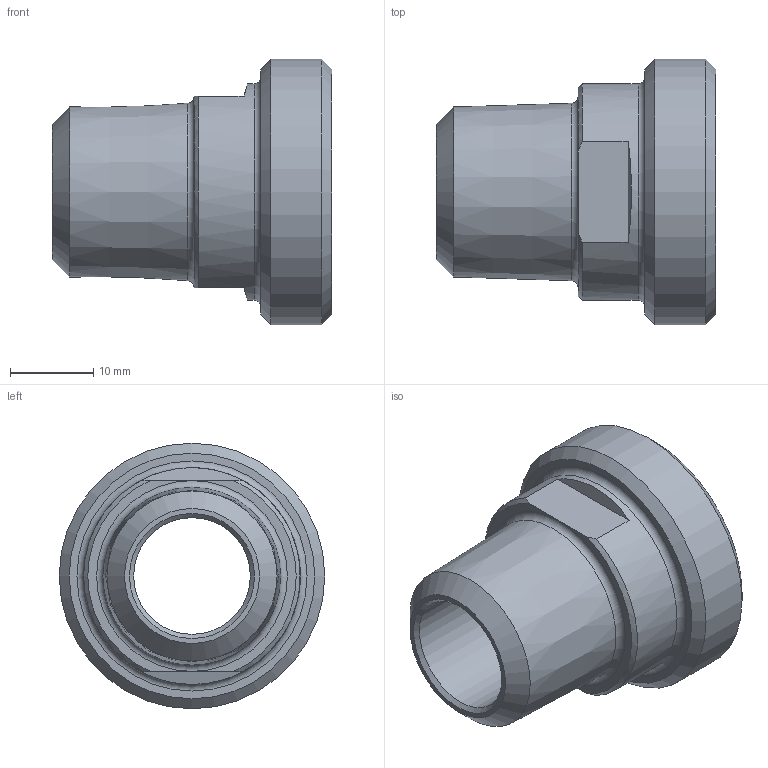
import cadquery as cq
import math

total_length = 33.5
collar_start = 17.0
flange_start = 25.0

nose_radius = 8.1
nose_chamfer = 2.1
spigot_radius = nose_radius + nose_chamfer
taper_slope = 1 / 32

collar_diameter = 26.0
collar_radius = collar_diameter / 2
collar_chamfer = 0.5
flange_diameter = 31.85
flange_radius = flange_diameter / 2
flange_chamfer = 1.2
corner_fillet = 0.8
bore_diameter = 14.0
bore_radius = bore_diameter / 2
bore_chamfer = 0.5

flat_height = 11.5
flat_end = 23.0
flat_end_angle = 15.0


def add_corner_fillet(profile, x_face, radius):
    """Run a concave fillet from the given radius up onto the shoulder face."""
    start = (x_face - corner_fillet, radius)
    bulge = corner_fillet * math.sin(math.radians(45))
    middle = (start[0] + bulge, radius + corner_fillet - bulge)
    end = (x_face, radius + corner_fillet)
    return profile.lineTo(*start).threePointArc(middle, end)


def make_body():
    """Revolve the spigot, collar, flange and bore about the X axis."""
    spigot_end = collar_start - corner_fillet
    spigot_end_radius = spigot_radius + taper_slope * (spigot_end - nose_chamfer)

    profile = (
        cq.Workplane("XY")
        .moveTo(bore_chamfer, bore_radius)
        .lineTo(0, bore_radius + bore_chamfer)
        .lineTo(0, nose_radius)
        .lineTo(nose_chamfer, spigot_radius)
    )
    profile = add_corner_fillet(profile, collar_start, spigot_end_radius)
    profile = (
        profile
        .lineTo(collar_start, collar_radius - collar_chamfer)
        .lineTo(collar_start + collar_chamfer, collar_radius)
    )
    profile = add_corner_fillet(profile, flange_start, collar_radius)
    profile = (
        profile
        .lineTo(flange_start, flange_radius - flange_chamfer)
        .lineTo(flange_start + flange_chamfer, flange_radius)
        .lineTo(total_length - flange_chamfer, flange_radius)
        .lineTo(total_length, flange_radius - flange_chamfer)
        .lineTo(total_length, bore_radius)
        .close()
    )
    return profile.revolve(360, (0, 0, 0), (1, 0, 0))


def make_flat_cutter():
    """Block that removes the top of the collar, with a sloped end wall."""
    height = flange_radius - flat_height
    slope_run = height * math.tan(math.radians(flat_end_angle))
    return (
        cq.Workplane("XZ")
        .moveTo(0, flat_height)
        .lineTo(flat_end, flat_height)
        .lineTo(flat_end + slope_run, flange_radius)
        .lineTo(0, flange_radius)
        .close()
        .extrude(collar_radius, both=True)
    )


flat_cutter = make_flat_cutter()
result = make_body().cut(flat_cutter).cut(flat_cutter.mirror("XY"))